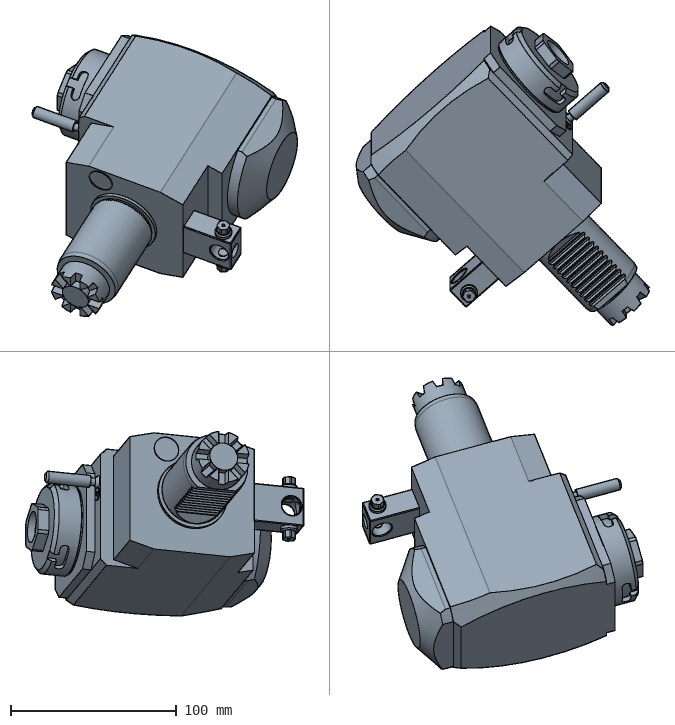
import cadquery as cq
import math


HALF_HEIGHT = 37.5
BODY_LEFT = -47.5
BODY_RIGHT = 48.6
FOOT_HALF_WIDTH = 39.1
FOOT_DEPTH = 34.8
BODY_BACK = 113.8
TAPER_START = 24.0
TAPER_SLOPE = math.tan(math.radians(15))
LEFT_CHAMFER = 3.8
BACK_CORNER_CHAMFER = 3.6
BACK_CONE_X = -10.0
BACK_CONE_RADIUS = 129.2
BACK_CONE_AXIS_Z = 95.4
PLUG_X = -16.0
PLUG_Z = 27.8
PLUG_RADIUS = 7.6
PLUG_RECESS = 0.5

SPINDLE_Y = 80.0
PLATE_LEFT = -53.0
PLATE_HALF = 33.7
PLATE_CHAMFER = 8.4
COLLAR_LEFT = -70.6
COLLAR_RADIUS = 27.7
COLLAR_CHAMFER = 2.4
COLLAR_GROOVE_WIDTH = 1.1
COLLAR_GROOVE_DEPTH = 0.7
WRENCH_ANGLES = (90, -30, -150)
WRENCH_WIDTH = 5.6
WRENCH_LENGTH = 18.5
WRENCH_FLOOR_RADIUS = 24.8
WRENCH_X = -62.5
NUT_LEFT = -77.4
NUT_FLATS = 27.0
NUT_CORNER_RADIUS = 15.0
NUT_BORE_RADIUS = 9.5
NUT_BORE_DEPTH = 4.7

CAP_RADIUS = 37.9
CAP_FLAT = 29.7
CAP_TAPER_X = 51.5
CAP_CONE_X = 55.3
CAP_RIGHT = 67.0
CAP_END_RADIUS = 21.5

PIN_Y = 40.4
PIN_Z = 17.7
PIN_RADIUS = 3.6
PIN_LEFT = -80.5
PIN_NECK_LEFT = -52.8
PIN_NECK_RADIUS = 2.4
PIN_FOOT_LEFT = -49.5
PIN_CHAMFER = 1.3
PIN_FOOT_RADIUS = 4.2
SCREW_Z = 10.2
SCREW_RADIUS = 4.0
SCREW_HEIGHT = 0.7
SCREW_HOLE_RADIUS = 1.3

FLANGE_RADIUS = 21.7
FLANGE_END = -2.0
SHANK_RADIUS = 20.0
SHANK_START = -3.6
SHANK_END = -53.1
SHANK_RELIEF_RADIUS = 19.3
SHANK_END_CHAMFER = 0.5
SHANK_END_CHAMFER_LENGTH = 3.0
RACK_CREST_Z = -15.5
RACK_DEPTH = 1.6
RACK_START = -4.4
RACK_PITCH = 4.0
RACK_GROOVES = 10
RACK_FIRST_GROOVE = -11.8
RACK_ROOT_WIDTH = 1.1
RACK_MOUTH_WIDTH = 3.5

DOG_NECK_RADIUS = 13.0
DOG_START = -54.2
DOG_END = -68.2
DOG_RADIUS = 16.2
DOG_CORE_RADIUS = 8.7
DOG_SLOTS = 8
DOG_SLOT_DEPTH = 4.7
DOG_SLOT_MOUTH = 6.2
DOG_SLOT_FLOOR = 4.2

ARM_RIGHT = 70.8
ARM_FRONT = 1.1
ARM_BACK = 16.0
ARM_HALF_HEIGHT = 12.2
ARM_CHAMFER = 0.5
ARM_HOLE_X = 63.0
ARM_HOLE_RADIUS = 6.0
ARM_CROSS_HOLE_RADIUS = 4.5
BOLT_Y = 7.0
BOLT_WASHER_RADIUS = 5.1
BOLT_WASHER_HEIGHT = 2.7
BOLT_WASHER_CHAMFER = 1.0
BOLT_HEIGHT = 7.3
BOLT_FLATS = 7.1
BOLT_CORNER_RADIUS = 3.8
BOLT_TIP_RADIUS = 3.1
BOLT_TIP_Z = 5.3
BOLT_HOLE_RADIUS = 1.0
BOLT_HOLE_DEPTH = 1.8

OVERLAP = 1.0
CLEAR = 9.1


def box(x_range, y_range, z_range):
    size = [high - low for low, high in (x_range, y_range, z_range)]
    return cq.Workplane().box(*size, centered=False).translate((x_range[0], y_range[0], z_range[0]))


def cylinder_x(radius, x_start, x_end, y, z):
    """Cylinder along X."""
    return cq.Workplane("YZ", origin=(x_start, y, z)).circle(radius).extrude(x_end - x_start)


def cylinder_y(radius, y_start, y_end, x=0, z=0):
    """Cylinder along Y."""
    return cq.Workplane("XZ", origin=(x, y_start, z)).circle(radius).extrude(y_start - y_end)


def turned_x(outline, y, z):
    """Body turned about an X-parallel axis from (x, radius) points."""
    points = [(outline[0][0], 0)] + outline + [(outline[-1][0], 0)]
    profile = cq.Workplane("XY", origin=(0, y, z)).polyline(points).close()
    return profile.revolve(360, (0, 0, 0), (1, 0, 0))


def truncated_hex(plane, flats, corner_radius, height):
    """Hexagonal prism with a corner on the local Y axis, its corners turned down to corner_radius."""
    across_corners = flats / math.cos(math.radians(30))
    prism = plane.transformed(rotate=(0, 0, 90)).polygon(6, across_corners).extrude(height)
    return prism.intersect(plane.circle(corner_radius).extrude(height))


def mirrored_pair(shape):
    return shape.union(shape.mirror("XY"))


def taper_height(x):
    """Half height of the housing where it narrows away from the shank axis."""
    return HALF_HEIGHT - (abs(x) - TAPER_START) * TAPER_SLOPE


def extruded_section(upper_points, y_start, y_end):
    """Prism along Y whose section is symmetric about Z = 0."""
    lower_points = [(x, -z) for x, z in reversed(upper_points)]
    section = cq.Workplane("XZ", origin=(0, y_start, 0)).polyline(upper_points + lower_points).close()
    return section.extrude(y_start - y_end)


def housing():
    foot = extruded_section(
        [
            (-FOOT_HALF_WIDTH, taper_height(FOOT_HALF_WIDTH)),
            (-TAPER_START, HALF_HEIGHT),
            (TAPER_START, HALF_HEIGHT),
            (FOOT_HALF_WIDTH, taper_height(FOOT_HALF_WIDTH)),
        ],
        0,
        FOOT_DEPTH + OVERLAP,
    )
    head = extruded_section(
        [
            (BODY_LEFT, HALF_HEIGHT - LEFT_CHAMFER),
            (BODY_LEFT + LEFT_CHAMFER, HALF_HEIGHT),
            (TAPER_START, HALF_HEIGHT),
            (BODY_RIGHT, taper_height(BODY_RIGHT)),
        ],
        FOOT_DEPTH,
        BODY_BACK,
    )
    head = head.edges(cq.selectors.BoxSelector(
        (BODY_RIGHT - OVERLAP, BODY_BACK - OVERLAP, -OVERLAP),
        (BODY_RIGHT + OVERLAP, BODY_BACK + OVERLAP, OVERLAP),
    )).chamfer(BACK_CORNER_CHAMFER)
    head = head.cut(mirrored_pair(back_edge_cutter()))
    plug = cylinder_y(PLUG_RADIUS, 0, PLUG_RECESS, PLUG_X, PLUG_Z)
    return head.union(foot).cut(plug)


def back_edge_cutter():
    """Ring outside a wide 45 degree cone that bevels the upper back edge of the housing."""
    reach = HALF_HEIGHT
    ring = cq.Workplane("XY").polyline([
        (BACK_CONE_RADIUS - CLEAR, BODY_BACK + CLEAR),
        (BACK_CONE_RADIUS + reach, BODY_BACK - reach),
        (BACK_CONE_RADIUS + reach, BODY_BACK + CLEAR),
    ]).close().revolve(360, (0, 0, 0), (0, 1, 0))
    return ring.translate((BACK_CONE_X, 0, -BACK_CONE_AXIS_Z))


def spindle_plate():
    plate = box(
        (PLATE_LEFT, BODY_LEFT + OVERLAP),
        (BODY_BACK - 2 * PLATE_HALF, BODY_BACK),
        (-PLATE_HALF, PLATE_HALF),
    )
    return plate.edges("|X").chamfer(PLATE_CHAMFER)


def spindle_collar():
    collar = turned_x(
        [
            (COLLAR_LEFT, COLLAR_RADIUS - COLLAR_CHAMFER),
            (COLLAR_LEFT + COLLAR_CHAMFER, COLLAR_RADIUS),
            (PLATE_LEFT - COLLAR_GROOVE_WIDTH, COLLAR_RADIUS),
            (PLATE_LEFT - COLLAR_GROOVE_WIDTH, COLLAR_RADIUS - COLLAR_GROOVE_DEPTH),
            (PLATE_LEFT + OVERLAP, COLLAR_RADIUS - COLLAR_GROOVE_DEPTH),
        ],
        SPINDLE_Y,
        0,
    )
    for angle in WRENCH_ANGLES:
        collar = collar.cut(wrench_recess(angle))
    return collar


def wrench_recess(angle):
    """Rounded slot in the collar wall with a keyway out to its front; angle is from +Z towards +Y."""
    plane = cq.Workplane("XY", origin=(0, SPINDLE_Y, 0))
    reach = COLLAR_RADIUS + CLEAR
    slot = plane.center(WRENCH_X, 0).slot2D(WRENCH_LENGTH, WRENCH_WIDTH, 90).extrude(reach)
    keyway = box(
        (COLLAR_LEFT - CLEAR, WRENCH_X),
        (SPINDLE_Y - WRENCH_WIDTH / 2, SPINDLE_Y + WRENCH_WIDTH / 2),
        (0, reach),
    )
    kept_core = cylinder_x(WRENCH_FLOOR_RADIUS, COLLAR_LEFT - CLEAR, PLATE_LEFT, SPINDLE_Y, 0)
    recess = slot.union(keyway).cut(kept_core)
    return recess.rotate((0, SPINDLE_Y, 0), (1, SPINDLE_Y, 0), -angle)


def spindle_nut():
    plane = cq.Workplane("YZ", origin=(NUT_LEFT, SPINDLE_Y, 0))
    height = COLLAR_LEFT - NUT_LEFT + OVERLAP
    nut = truncated_hex(plane, NUT_FLATS, NUT_CORNER_RADIUS, height)
    return nut.cut(plane.circle(NUT_BORE_RADIUS).extrude(NUT_BORE_DEPTH))


def rear_cap():
    cap = turned_x(
        [
            (BODY_RIGHT - OVERLAP, CAP_RADIUS),
            (CAP_CONE_X, CAP_RADIUS),
            (CAP_RIGHT, CAP_END_RADIUS),
        ],
        SPINDLE_Y,
        0,
    )
    end_flat = CAP_FLAT - (CAP_RIGHT - CAP_TAPER_X) * TAPER_SLOPE
    envelope = extruded_section(
        [
            (BODY_RIGHT - OVERLAP, CAP_FLAT),
            (CAP_TAPER_X, CAP_FLAT),
            (CAP_RIGHT, end_flat),
        ],
        SPINDLE_Y - CAP_RADIUS - CLEAR,
        SPINDLE_Y + CAP_FLAT,
    )
    return cap.intersect(envelope)


def coolant_pin():
    pin = turned_x(
        [
            (PIN_LEFT, PIN_RADIUS - PIN_CHAMFER),
            (PIN_LEFT + PIN_CHAMFER, PIN_RADIUS),
            (PIN_NECK_LEFT, PIN_RADIUS),
            (PIN_NECK_LEFT, PIN_NECK_RADIUS),
            (PIN_FOOT_LEFT, PIN_NECK_RADIUS),
            (BODY_LEFT, PIN_FOOT_RADIUS),
            (BODY_LEFT + OVERLAP, PIN_FOOT_RADIUS),
        ],
        PIN_Y,
        PIN_Z,
    )
    screw_left = BODY_LEFT - SCREW_HEIGHT
    screw = cylinder_x(SCREW_RADIUS, screw_left, BODY_LEFT + OVERLAP, PIN_Y, SCREW_Z)
    screw_hole = cylinder_x(SCREW_HOLE_RADIUS, screw_left, BODY_LEFT, PIN_Y, SCREW_Z)
    return pin.union(screw.cut(screw_hole))


def shank():
    flange = cylinder_y(FLANGE_RADIUS, OVERLAP, FLANGE_END)
    relief = cylinder_y(SHANK_RELIEF_RADIUS, 0, SHANK_START)
    barrel = cylinder_y(SHANK_RADIUS, SHANK_START, SHANK_END)
    barrel = barrel.faces("<Y").chamfer(SHANK_END_CHAMFER_LENGTH, SHANK_END_CHAMFER)
    return barrel.cut(rack_cutter()).union(relief).union(flange)


def rack_cutter():
    """Removes the underside of the shank down to a flat with clamping serrations."""
    bottom = -SHANK_RADIUS - CLEAR
    root_z = RACK_CREST_Z + RACK_DEPTH
    ramp_end = RACK_START - (SHANK_RADIUS + RACK_CREST_Z)
    flat = cq.Workplane("YZ", origin=(-SHANK_RADIUS, 0, 0)).polyline([
        (RACK_START + CLEAR, bottom),
        (ramp_end, RACK_CREST_Z),
        (SHANK_END - CLEAR, RACK_CREST_Z),
        (SHANK_END - CLEAR, bottom),
    ]).close().extrude(2 * SHANK_RADIUS)
    for index in range(RACK_GROOVES):
        y = RACK_FIRST_GROOVE - index * RACK_PITCH
        groove = cq.Workplane("YZ", origin=(-SHANK_RADIUS, y, 0)).polyline([
            (-RACK_MOUTH_WIDTH / 2, RACK_CREST_Z),
            (-RACK_ROOT_WIDTH / 2, root_z),
            (RACK_ROOT_WIDTH / 2, root_z),
            (RACK_MOUTH_WIDTH / 2, RACK_CREST_Z),
        ]).close().extrude(2 * SHANK_RADIUS)
        flat = flat.union(groove)
    return flat


def driving_dog():
    neck = cylinder_y(DOG_NECK_RADIUS, SHANK_END + OVERLAP, DOG_START)
    dog = cylinder_y(DOG_RADIUS, DOG_START, DOG_END)
    slot = cq.Workplane("XY").polyline([
        (-DOG_SLOT_FLOOR / 2, DOG_END + DOG_SLOT_DEPTH),
        (-DOG_SLOT_MOUTH / 2, DOG_END),
        (DOG_SLOT_MOUTH / 2, DOG_END),
        (DOG_SLOT_FLOOR / 2, DOG_END + DOG_SLOT_DEPTH),
    ]).close().extrude(DOG_RADIUS + CLEAR)
    for index in range(DOG_SLOTS):
        dog = dog.cut(slot.rotate((0, 0, 0), (0, 1, 0), index * 360 / DOG_SLOTS))
    core = cylinder_y(DOG_CORE_RADIUS, DOG_START, DOG_END)
    return dog.union(core).union(neck)


def clamp_bolt():
    """Washer and hexagonal head standing on the upper face of the arm."""
    seat = cq.Workplane("XY", origin=(ARM_HOLE_X, BOLT_Y, ARM_HALF_HEIGHT - OVERLAP))
    washer = seat.circle(BOLT_WASHER_RADIUS).extrude(BOLT_WASHER_HEIGHT + OVERLAP)
    washer = washer.faces(">Z").chamfer(BOLT_WASHER_CHAMFER)
    head = truncated_hex(seat, BOLT_FLATS, BOLT_CORNER_RADIUS, BOLT_HEIGHT + OVERLAP)
    bolt = washer.union(head)
    hole = cq.Workplane("XY", origin=(ARM_HOLE_X, BOLT_Y, ARM_HALF_HEIGHT + BOLT_HEIGHT))
    return bolt.cut(hole.circle(BOLT_HOLE_RADIUS).extrude(-BOLT_HOLE_DEPTH))


def bolt_tip():
    """Flat end of the bolt just breaking into the bore of the arm."""
    tip = cq.Workplane("XY", origin=(ARM_HOLE_X, BOLT_Y, BOLT_TIP_Z)).circle(BOLT_TIP_RADIUS)
    return tip.extrude(ARM_HALF_HEIGHT - BOLT_TIP_Z)


def clamp_arm():
    arm = box(
        (FOOT_HALF_WIDTH - OVERLAP, ARM_RIGHT),
        (ARM_FRONT, ARM_BACK),
        (-ARM_HALF_HEIGHT, ARM_HALF_HEIGHT),
    )
    arm = arm.edges("|X or >X").chamfer(ARM_CHAMFER)
    bored = arm.cut(cylinder_y(ARM_HOLE_RADIUS, ARM_BACK, ARM_FRONT, ARM_HOLE_X))
    bored = bored.faces("<Y or >Y").edges("%CIRCLE").chamfer(ARM_CHAMFER)
    cross_hole = cylinder_x(ARM_CROSS_HOLE_RADIUS, ARM_HOLE_X, ARM_RIGHT, BOLT_Y, 0)
    return bored.cut(cross_hole).union(mirrored_pair(clamp_bolt())).union(mirrored_pair(bolt_tip()))


result = housing()
for piece in (
    spindle_plate(),
    spindle_collar(),
    spindle_nut(),
    rear_cap(),
    coolant_pin(),
    shank(),
    driving_dog(),
    clamp_arm(),
):
    result = result.union(piece)